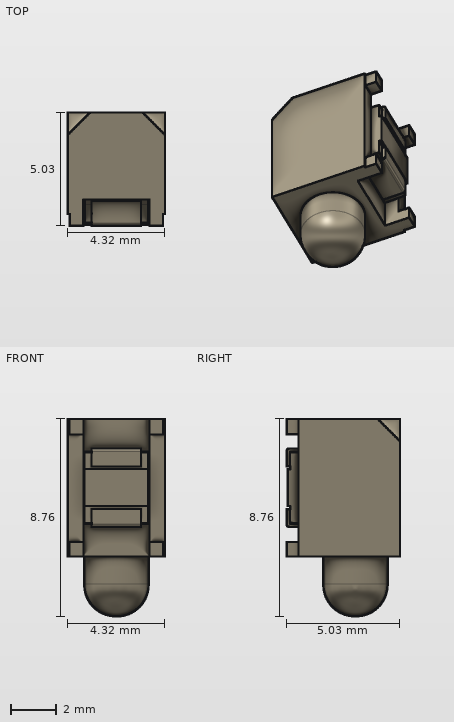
import cadquery as cq

body_width = 4.32
body_depth = 4.5
body_height = 6.11
corner_cut = 1.0

channel_width = 2.93
channel_depth = 0.64

foot_width = 0.605
foot_length = 0.525
upper_foot_height = 0.69
lower_foot_height = 0.66

lens_length = 8.76 - body_height
lens_radius = 1.44
lens_from_back = 1.98

chip_width = 2.82
chip_height = 3.22
chip_straight_depth = 0.21
chip_end_taper = 0.05
pad_height = 1.64
pad_rise = 0.11

lead_width = 2.19
lead_height = 0.8
lead_thickness = 0.16
lead_bend_radius = 0.13
lead_overhang = 0.13
lead_floor_gap = 0.05

foot_tip_y = -foot_length
chip_face_y = foot_tip_y + lead_thickness
chip_taper_y = channel_depth - chip_straight_depth
chip_center_z = body_height / 2
lens_center_y = body_depth - lens_from_back


def block(width, y_range, z_range):
    """Box centred on X that spans the given Y and Z ranges."""
    y_min, y_max = y_range
    z_min, z_max = z_range
    return cq.Workplane("XY").box(
        width, y_max - y_min, z_max - z_min, centered=(True, False, False)
    ).translate((0, y_min, z_min))


def extrude_side_profile(profile, width):
    """Extrude a closed YZ profile symmetrically about X = 0."""
    return profile.extrude(width / 2, both=True)


def make_corner_cutter(side):
    """Tetrahedron at a top back corner; side is -1 or 1 along X."""
    corner = cq.Vector(side * body_width / 2, body_depth, body_height)
    tips = [
        corner - cq.Vector(side * corner_cut, 0, 0),
        corner - cq.Vector(0, corner_cut, 0),
        corner - cq.Vector(0, 0, corner_cut),
    ]
    triangles = [tips]
    for i in range(3):
        triangles.append([corner, tips[i], tips[(i + 1) % 3]])
    faces = []
    for triangle in triangles:
        outline = cq.Wire.makePolygon(triangle, close=True)
        faces.append(cq.Face.makeFromWires(outline))
    return cq.Workplane(cq.Solid.makeSolid(cq.Shell.makeShell(faces)))


def make_housing():
    housing = block(body_width, (0, body_depth), (0, body_height))
    housing = housing.cut(block(channel_width, (0, channel_depth), (0, body_height)))
    for side in (-1, 1):
        housing = housing.cut(make_corner_cutter(side))
    return housing


def add_feet(housing):
    """Add four feet flush with the channel walls and the housing ends."""
    foot_x = (channel_width + foot_width) / 2
    foot_spans = [(0, lower_foot_height), (body_height - upper_foot_height, body_height)]
    for side in (-1, 1):
        for span in foot_spans:
            foot = block(foot_width, (foot_tip_y, 0), span)
            housing = housing.union(foot.translate((side * foot_x, 0, 0)))
    return housing


def make_lens():
    """Cylinder ending in a hemisphere, revolved about its vertical axis."""
    dome_start = lens_radius - lens_length
    return (
        cq.Workplane("XZ")
        .lineTo(lens_radius, 0)
        .lineTo(lens_radius, dome_start)
        .radiusArc((0, -lens_length), lens_radius)
        .close()
        .revolve(360, (0, 0), (0, 1))
        .translate((0, lens_center_y, 0))
    )


def make_chip():
    half_height = chip_height / 2
    half_face = half_height - chip_end_taper
    profile = (
        cq.Workplane("YZ")
        .polyline([
            (channel_depth, -half_height),
            (channel_depth, half_height),
            (chip_taper_y, half_height),
            (chip_face_y, half_face),
            (chip_face_y, -half_face),
            (chip_taper_y, -half_height),
        ])
        .close()
    )
    chip = extrude_side_profile(profile, chip_width)
    pad_y = (chip_face_y - pad_rise, chip_face_y)
    pad = block(chip_width, pad_y, (-pad_height / 2, pad_height / 2))
    return chip.union(pad).translate((0, 0, chip_center_z))


def make_upper_lead():
    top = chip_height / 2 + lead_overhang
    root_y = channel_depth - lead_floor_gap
    profile = (
        cq.Workplane("YZ")
        .moveTo(root_y, top)
        .lineTo(foot_tip_y + lead_bend_radius, top)
        .radiusArc((foot_tip_y, top - lead_bend_radius), -lead_bend_radius)
        .lineTo(foot_tip_y, top - lead_height)
        .lineTo(chip_face_y, top - lead_height)
        .lineTo(chip_face_y, top - lead_thickness)
        .lineTo(root_y, top - lead_thickness)
        .close()
    )
    return extrude_side_profile(profile, lead_width)


upper_lead = make_upper_lead()
lower_lead = upper_lead.mirror("XY")

result = add_feet(make_housing()).union(make_lens()).union(make_chip())
for lead in (upper_lead, lower_lead):
    result = result.union(lead.translate((0, 0, chip_center_z)))